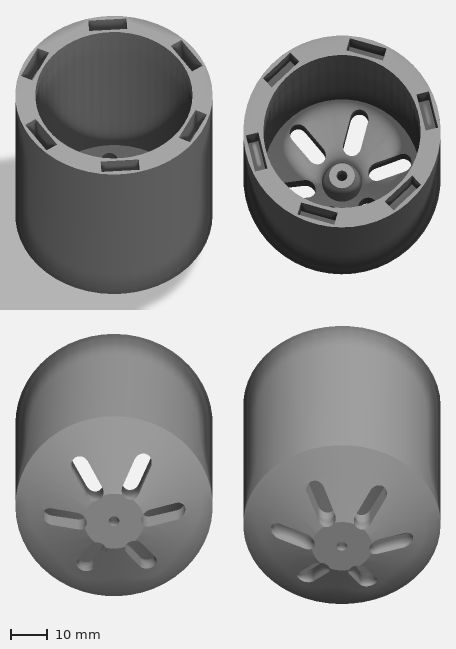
import cadquery as cq

outer_diameter = 54.0
height = 65.0
cone_height = 10.0
base_diameter = 16.45

bore_diameter = 43.0
funnel_apex_height = 3.0
funnel_depth = 10.0
funnel_rim_height = funnel_apex_height + funnel_depth

boss_base_diameter = 11.0
boss_top_diameter = 7.0
boss_top_height = funnel_rim_height
center_hole_diameter = 2.9

feature_count = 6
first_angle = 90.0

slot_length = 12.0
slot_width = 5.0
slot_center_radius = 13.5

pocket_length = 10.45
pocket_width = 3.5
pocket_depth = 10.0
pocket_center_radius = 24.05


def radial_frames(radius, plane_height=0):
    """Evenly spaced local frames whose X axes point radially outward."""
    plane = cq.Workplane("XY", origin=(0, 0, plane_height))
    return plane.polarArray(radius, first_angle, 360, feature_count)


def make_body():
    """Revolve the cup with its conical underside, funnel floor and boss."""
    bore_radius = bore_diameter / 2
    boss_base_radius = boss_base_diameter / 2
    funnel_slope = funnel_depth / bore_radius
    boss_base_height = funnel_apex_height + funnel_slope * boss_base_radius
    half_section = [
        (0, 0),
        (base_diameter / 2, 0),
        (outer_diameter / 2, cone_height),
        (outer_diameter / 2, height),
        (bore_radius, height),
        (bore_radius, funnel_rim_height),
        (boss_base_radius, boss_base_height),
        (boss_top_diameter / 2, boss_top_height),
        (0, boss_top_height),
    ]
    return cq.Workplane("XZ").polyline(half_section).close().revolve(360, (0, 0), (0, 1))


def make_center_hole():
    return cq.Workplane("XY").circle(center_hole_diameter / 2).extrude(boss_top_height)


def make_slots():
    """Vertical slot cutters, tall enough to clear the funnel floor."""
    return radial_frames(slot_center_radius).slot2D(slot_length, slot_width).extrude(funnel_rim_height)


def make_pockets():
    """Blind rectangular cutters, long side along the rim."""
    frames = radial_frames(pocket_center_radius, height)
    return frames.rect(pocket_width, pocket_length).extrude(-pocket_depth)


result = make_body().cut(make_center_hole()).cut(make_slots()).cut(make_pockets())